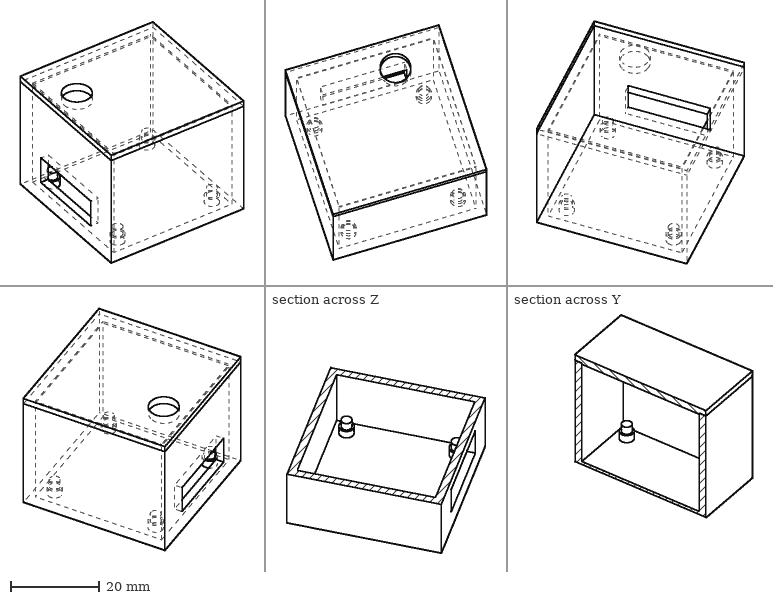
import cadquery as cq

SIDE = 36.5
TOTAL_HEIGHT = 30.5
WALL = 2.0
FLOOR = 1.0
CAVITY_SIDE = SIDE - 2 * WALL

LID_PLATE = 1.5
LID_PLUG = 0.5
BOX_HEIGHT = TOTAL_HEIGHT - LID_PLATE

LID_HOLE_DIAMETER = 7.0
LID_HOLE_FROM_LEFT = 12.5
LID_HOLE_FROM_FRONT = 7.0
LID_HOLE_X = LID_HOLE_FROM_LEFT - SIDE / 2
LID_HOLE_Y = LID_HOLE_FROM_FRONT - SIDE / 2

WINDOW_WIDTH = 20.0
WINDOW_HEIGHT = 7.0
WINDOW_SILL = 5.5

STANDOFF_DIAMETER = 3.5
STANDOFF_HEIGHT = 2.0
PIN_DIAMETER = 2.5
PIN_HEIGHT = 2.0
SUPPORT_INSET = 5.25
SUPPORT_OFFSET = SIDE / 2 - SUPPORT_INSET


def block(width, depth, height, base_z):
    """Upright block centred on X and Y, standing on base_z."""
    return cq.Workplane("XY", origin=(0, 0, base_z)).rect(width, depth).extrude(height)


def board_support(x, y):
    """Standoff with a narrower locating pin on top, standing on the floor."""
    base = cq.Workplane("XY", origin=(x, y, FLOOR))
    standoff = base.circle(STANDOFF_DIAMETER / 2).extrude(STANDOFF_HEIGHT)
    pin = base.circle(PIN_DIAMETER / 2).extrude(STANDOFF_HEIGHT + PIN_HEIGHT)
    return standoff.union(pin)


def make_box():
    """Open-topped box with a front window and four board supports."""
    cavity = block(CAVITY_SIDE, CAVITY_SIDE, BOX_HEIGHT - FLOOR, FLOOR)
    window = block(WINDOW_WIDTH, WALL, WINDOW_HEIGHT, WINDOW_SILL)
    window = window.translate((0, -(SIDE - WALL) / 2, 0))
    body = block(SIDE, SIDE, BOX_HEIGHT, 0).cut(cavity).cut(window)
    for x in (-SUPPORT_OFFSET, SUPPORT_OFFSET):
        for y in (-SUPPORT_OFFSET, SUPPORT_OFFSET):
            body = body.union(board_support(x, y))
    return body


def make_lid():
    """Flat lid with a plug below it and a round hole through both."""
    plate = block(SIDE, SIDE, LID_PLATE, BOX_HEIGHT)
    plug = block(CAVITY_SIDE, CAVITY_SIDE, LID_PLUG, BOX_HEIGHT - LID_PLUG)
    hole = (
        cq.Workplane("XY", origin=(LID_HOLE_X, LID_HOLE_Y, BOX_HEIGHT - LID_PLUG))
        .circle(LID_HOLE_DIAMETER / 2)
        .extrude(LID_PLUG + LID_PLATE)
    )
    return plate.union(plug).cut(hole)


box = make_box()
lid = make_lid()

result = cq.Compound.makeCompound([box.val(), lid.val()])